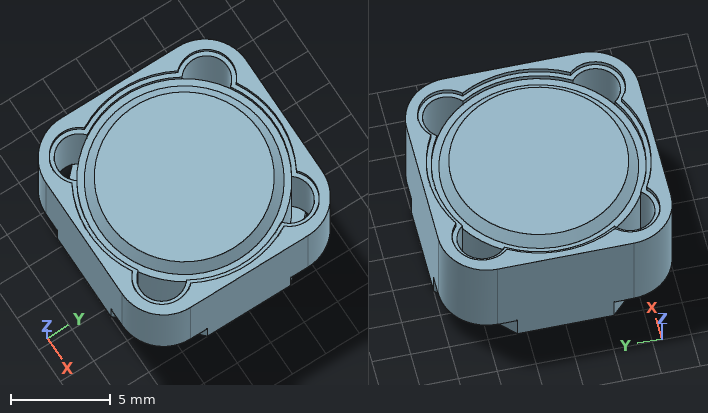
import cadquery as cq
import math

width = 12.0
height = 6.0

base_sides = 8
base_height = 1.17
octagon_corner_diameter = width / math.cos(math.pi / base_sides)

corner_radius = width / 2 * math.tan(math.pi / base_sides)

core_radius = 5.4
crown_base_radius = 5.02
crown_top_radius = 4.52
crown_height = 0.5

well_radius = 1.25
well_angles = (45, 135, 225, 315)

ledge_width = 0.25
ledge_depth = 0.25


def cylinder(radius, bottom, top, x=0.0, y=0.0):
    """Vertical cylinder between two heights."""
    return cq.Workplane("XY").workplane(offset=bottom).center(x, y).circle(radius).extrude(top - bottom)


def well_cylinders(radius, bottom):
    """Four cylinders at the corner wells, open at the top."""
    wells = cq.Workplane("XY")
    for angle in well_angles:
        x = core_radius * math.cos(math.radians(angle))
        y = core_radius * math.sin(math.radians(angle))
        wells = wells.add(cylinder(radius, bottom, height, x, y))
    return wells.combine()


def make_base():
    return (
        cq.Workplane("XY")
        .transformed(rotate=(0, 0, 180 / base_sides))
        .polygon(base_sides, octagon_corner_diameter)
        .extrude(base_height)
    )


def make_shell():
    return (
        cq.Workplane("XY")
        .workplane(offset=base_height)
        .rect(width, width)
        .extrude(height - base_height)
        .edges("|Z")
        .fillet(corner_radius)
    )


def make_core():
    """Core drum up to the foot of the crown, topped by the bevelled crown."""
    crown_bottom = height - crown_height
    drum = cylinder(core_radius, base_height, crown_bottom)
    crown = (
        cq.Workplane("XY")
        .workplane(offset=crown_bottom)
        .circle(crown_base_radius)
        .workplane(offset=crown_height)
        .circle(crown_top_radius)
        .loft()
    )
    return drum.union(crown)


def cut_recesses(shell):
    """Remove the stepped ledge, the core opening and the corner wells."""
    ledge_floor = height - ledge_depth
    shell = shell.cut(cylinder(core_radius + ledge_width, ledge_floor, height))
    shell = shell.cut(well_cylinders(well_radius + ledge_width, ledge_floor))
    shell = shell.cut(cylinder(core_radius, base_height, height))
    return shell.cut(well_cylinders(well_radius, base_height))


result = cut_recesses(make_shell()).union(make_core()).union(make_base()).clean()